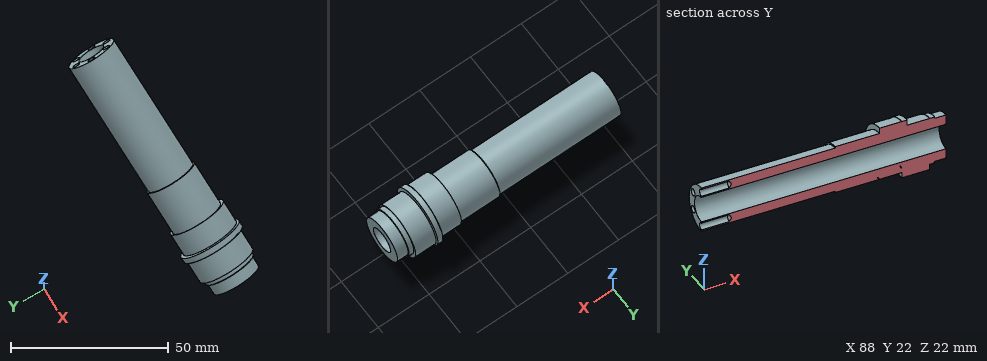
import cadquery as cq
import math

length = 88.0
shaft_radius = 8.45
body_radius = 9.0
body_start = 48.05
body_end = 83.9
bore_radius = 4.7

flange_radius = 11.0
flange_start = 72.0
flange_end = 74.0
cam_length = 8.0
cam_offset = (flange_radius - body_radius) / 2
cam_radius = flange_radius - cam_offset

hole_count = 6
hole_radius = 1.2
hole_circle_radius = 6.5
hole_depth = 10.0
drill_tip_angle = 118.0
tip_depth = hole_radius / math.tan(math.radians(drill_tip_angle / 2))


def cylinder(start, end, radius, z_center=0.0):
    """Cylinder along X between two stations, optionally offset in Z."""
    axis_point = cq.Vector(start, 0, z_center)
    solid = cq.Solid.makeCylinder(radius, end - start, axis_point, cq.Vector(1, 0, 0))
    return cq.Workplane(obj=solid)


def drilled_hole(angle):
    """Blind hole with a conical bottom, placed on the hole circle."""
    profile = [
        (0, 0),
        (0, hole_radius),
        (hole_depth, hole_radius),
        (hole_depth + tip_depth, 0),
    ]
    hole = cq.Workplane("XY").polyline(profile).close().revolve(360, (0, 0), (1, 0))
    return hole.translate((0, 0, hole_circle_radius)).rotate((0, 0, 0), (1, 0, 0), angle)


result = cylinder(0, length, shaft_radius)
result = result.union(cylinder(body_start, body_end, body_radius))
result = result.union(cylinder(flange_start, flange_end, flange_radius))

result = result.union(cylinder(flange_start - cam_length, flange_start, cam_radius, cam_offset))
result = result.union(cylinder(flange_end, flange_end + cam_length, cam_radius, -cam_offset))

result = result.cut(cylinder(0, length, bore_radius))

for index in range(hole_count):
    result = result.cut(drilled_hole(index * 360 / hole_count))